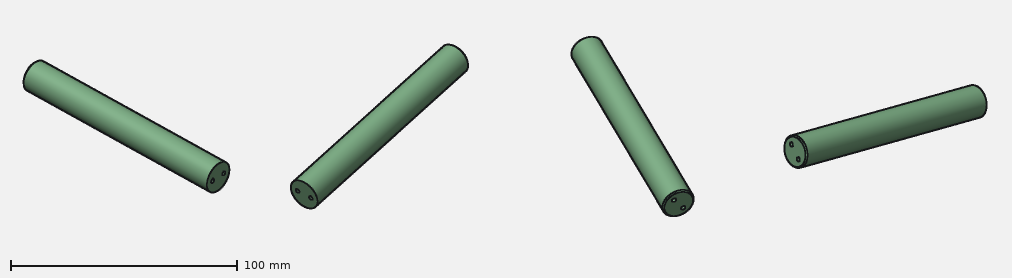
import cadquery as cq
import math

rod_length = 110.0
rod_diameter = 15.0
chamfer_size = 0.7

channel_diameter = 2.0
channel_offset_y = 2.2
channel_offset_z = 3.0
channel_helix_angle = 30.0

channel_radius = math.hypot(channel_offset_y, channel_offset_z)
channel_start_angle = math.degrees(math.atan2(channel_offset_z, channel_offset_y))
channel_pitch = math.pi * rod_diameter / math.tan(math.radians(channel_helix_angle))


def make_rod():
    """Solid rod from X = 0, chamfered on its -X end."""
    rod = cq.Workplane("YZ").circle(rod_diameter / 2).extrude(rod_length)
    return rod.faces("<X").chamfer(chamfer_size)


def make_channel(start_angle):
    """Right-handed helical channel; the start angle runs from +Y toward +Z."""
    helix = cq.Wire.makeHelix(channel_pitch, rod_length, channel_radius)
    channel = (
        cq.Workplane("XY")
        .center(channel_radius, 0)
        .circle(channel_diameter / 2)
        .sweep(cq.Workplane(obj=helix), isFrenet=True)
    )
    along_x = channel.rotate((0, 0, 0), (0, 1, 0), 90)
    return along_x.rotate((0, 0, 0), (1, 0, 0), start_angle + 90)


result = make_rod()
for half_turn in (0, 180):
    result = result.cut(make_channel(channel_start_angle + half_turn))

result = result.translate((-rod_length / 2, 0, 0))